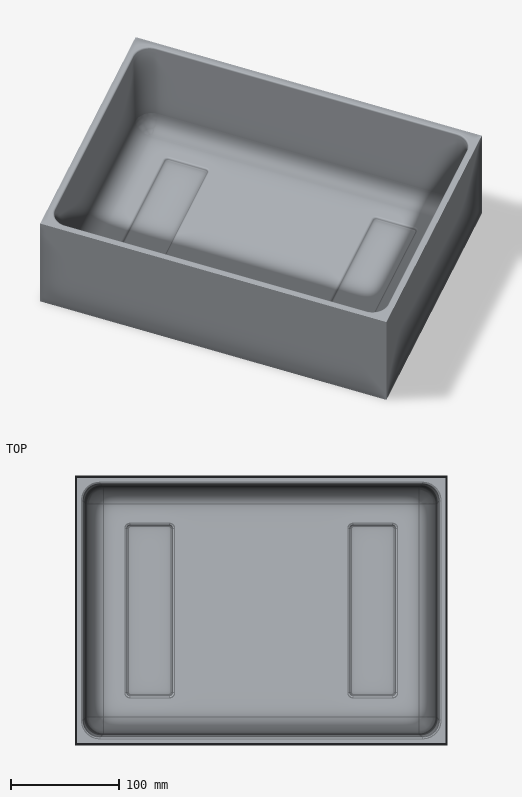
import cadquery as cq
length = 343.0
width = 247.5
height = 108.0

rim_wall = 6.5
cavity_draft = 2.0
floor_thickness = 6.5
cavity_corner_radius = 15.8
floor_fillet = 15.8
rim_fillet = 1.5

recess_length = 158.8
recess_width = 43.2
recess_spacing = 206.5
recess_depth = 2.5
recess_draft = 20.0
recess_corner_radius = 3.5
recess_top_fillet = 2.0
recess_bottom_fillet = 1.5


def round_inner_edges(body, face_selector, radius):
    """Round the edges around the openings in a flat face, leaving its outer boundary sharp."""
    inner_wires = body.faces(face_selector).val().innerWires()
    edges = [edge for wire in inner_wires for edge in wire.Edges()]
    return body.newObject(edges).fillet(radius)


def make_block():
    return cq.Workplane("XY").box(length, width, height, centered=(True, True, False))


def make_cavity():
    """Tapered cavity with round corners and a rounded transition to its floor."""
    return (
        cq.Workplane("XY", origin=(0, 0, height))
        .rect(length - 2 * rim_wall, width - 2 * rim_wall)
        .extrude(floor_thickness - height, taper=cavity_draft)
        .edges("not #Z")
        .fillet(cavity_corner_radius)
        .faces("<Z")
        .edges()
        .fillet(floor_fillet)
    )


def make_recess(x):
    """Shallow pocket with round corners, sloping walls and a rounded bottom edge."""
    return (
        cq.Workplane("XY", origin=(x, 0, floor_thickness))
        .sketch()
        .rect(recess_width, recess_length)
        .vertices()
        .fillet(recess_corner_radius)
        .finalize()
        .extrude(-recess_depth, taper=recess_draft)
        .faces("<Z")
        .edges()
        .fillet(recess_bottom_fillet)
    )


tray = make_block().cut(make_cavity())
tray = round_inner_edges(tray, ">Z", rim_fillet)

for recess_x in (-recess_spacing / 2, recess_spacing / 2):
    tray = tray.cut(make_recess(recess_x))

cavity_floor = cq.selectors.NearestToPointSelector((0, 0, floor_thickness))
tray = round_inner_edges(tray, cavity_floor, recess_top_fillet)

result = tray